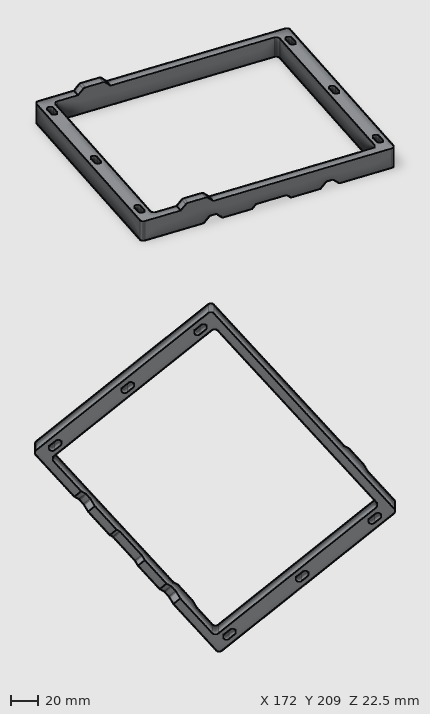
import cadquery as cq

length = 209.0
width = 172.0
total_height = 22.5
bump_height = 5.0
frame_height = total_height - bump_height
side_rail = 6.7
end_rail = 12.1
outer_radius = 2.7
inner_radius = 3.1

slot_length = 10.9
slot_width = 5.0
slot_pitch = 70.2
slot_edge_distance = 6.3

bump_center_y = -59.0
bump_foot_width = 26.8
bump_radius = 2.5

notch_group_y = 2.5
outer_notch_offset = 48.0
outer_notch_width = 15.5
outer_notch_depth = 5.0
middle_notch_width = 31.8
middle_notch_depth = 3.3
notch_radius = 1.0

rail_center_x = (width - side_rail) / 2


def rail_trapezoid(center_x, center_y, base_z, foot_width, height, top_radius):
    """Trapezoid across a side rail, with 45 degree flanks and rounded top edges."""
    half_foot = foot_width / 2
    half_top = half_foot - height
    return (
        cq.Workplane("YZ", origin=(center_x, center_y, base_z))
        .polyline([(-half_foot, 0), (half_foot, 0), (half_top, height), (-half_top, height)])
        .close()
        .extrude(side_rail / 2, both=True)
        .faces(">Z")
        .edges("|X")
        .fillet(top_radius)
    )


def make_frame():
    outer = cq.Workplane("XY").rect(width, length).extrude(frame_height).edges("|Z").fillet(outer_radius)
    opening = (
        cq.Workplane("XY")
        .rect(width - 2 * side_rail, length - 2 * end_rail)
        .extrude(frame_height)
        .edges("|Z")
        .fillet(inner_radius)
    )
    return outer.cut(opening)


def make_slots():
    return (
        cq.Workplane("XY")
        .rarray(slot_pitch, length - 2 * slot_edge_distance, 3, 2)
        .slot2D(slot_length, slot_width)
        .extrude(frame_height)
    )


result = make_frame().cut(make_slots())

for bump_x in (-rail_center_x, rail_center_x):
    bump = rail_trapezoid(
        bump_x, bump_center_y, frame_height, bump_foot_width, bump_height, bump_radius
    )
    result = result.union(bump)

for notch_y, notch_width, notch_depth in (
    (notch_group_y - outer_notch_offset, outer_notch_width, outer_notch_depth),
    (notch_group_y, middle_notch_width, middle_notch_depth),
    (notch_group_y + outer_notch_offset, outer_notch_width, outer_notch_depth),
):
    notch = rail_trapezoid(rail_center_x, notch_y, 0, notch_width, notch_depth, notch_radius)
    result = result.cut(notch)